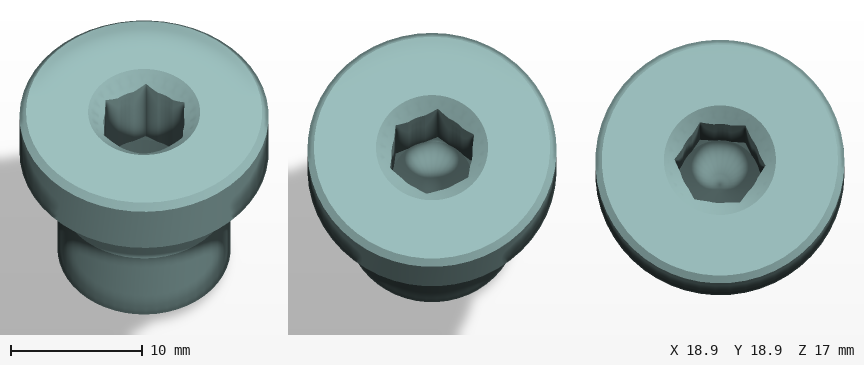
import cadquery as cq
import math

head_diameter = 18.9
total_height = 17.0

rim_depth = 4.76
head_chamfer = 0.5
sealing_bulge = 0.25

shank_diameter = 13.15
shank_length = 7.55
shank_chamfer = 0.9
neck_diameter = 11.2
neck_fillet = 1.2
shoulder_angle = 30.0

socket_across_flats = 6.0
socket_depth = 7.0
drill_diameter = 6.15
drill_point_angle = 120.0
countersink_diameter = 8.5
countersink_angle = 90.0

head_radius = head_diameter / 2
shank_radius = shank_diameter / 2
neck_radius = neck_diameter / 2


def cone_height(base_radius, point_angle):
    """Height of a cone from its base radius and its full point angle in degrees."""
    return base_radius / math.tan(math.radians(point_angle / 2))


def turned_body():
    """Head, necked relief and shank, revolved about the Z axis."""
    rim_z = total_height - rim_depth

    upper_center_r = neck_radius + neck_fillet
    upper_center_z = rim_z - neck_fillet
    upper_mid = (
        upper_center_r - neck_fillet * math.cos(math.radians(45)),
        upper_center_z + neck_fillet * math.sin(math.radians(45)),
    )

    ring_bottom = ((upper_center_r + head_radius) / 2, rim_z - sealing_bulge)

    slope = math.radians(shoulder_angle)
    corner_z = shank_length + (shank_radius - neck_radius) / math.tan(slope)
    lower_center_r = neck_radius + neck_fillet
    lower_center_z = corner_z + neck_fillet * math.tan(slope / 2)

    def lower_fillet_point(angle):
        return (
            lower_center_r - neck_fillet * math.cos(angle),
            lower_center_z - neck_fillet * math.sin(angle),
        )

    profile = (
        cq.Workplane("XZ")
        .moveTo(0, 0)
        .lineTo(shank_radius - shank_chamfer, 0)
        .lineTo(shank_radius, shank_chamfer)
        .lineTo(shank_radius, shank_length)
        .lineTo(*lower_fillet_point(slope))
        .threePointArc(lower_fillet_point(slope / 2), lower_fillet_point(0))
        .lineTo(neck_radius, upper_center_z)
        .threePointArc(upper_mid, (upper_center_r, rim_z))
        .threePointArc(ring_bottom, (head_radius, rim_z))
        .lineTo(head_radius, total_height - head_chamfer)
        .lineTo(head_radius - head_chamfer, total_height)
        .lineTo(0, total_height)
        .close()
    )
    return profile.revolve(360, (0, 0, 0), (0, 1, 0))


def hexagon_cut():
    """Hexagonal prism with two corners on the X axis."""
    across_corners = socket_across_flats / math.cos(math.radians(30))
    top_plane = cq.Workplane("XY").workplane(offset=total_height)
    return top_plane.polygon(6, across_corners).extrude(-socket_depth)


def drill_and_countersink_cut():
    """Pilot drilling with a conical end, opened by a countersink at the top face."""
    drill_radius = drill_diameter / 2
    countersink_radius = countersink_diameter / 2
    floor_z = total_height - socket_depth

    drill = (
        cq.Workplane("XZ")
        .moveTo(0, floor_z - cone_height(drill_radius, drill_point_angle))
        .lineTo(drill_radius, floor_z)
        .lineTo(drill_radius, total_height)
        .lineTo(0, total_height)
        .close()
        .revolve(360, (0, 0, 0), (0, 1, 0))
    )
    countersink = (
        cq.Workplane("XZ")
        .moveTo(0, total_height - cone_height(countersink_radius, countersink_angle))
        .lineTo(countersink_radius, total_height)
        .lineTo(0, total_height)
        .close()
        .revolve(360, (0, 0, 0), (0, 1, 0))
    )
    return drill.union(countersink)


result = turned_body().cut(hexagon_cut()).cut(drill_and_countersink_cut())